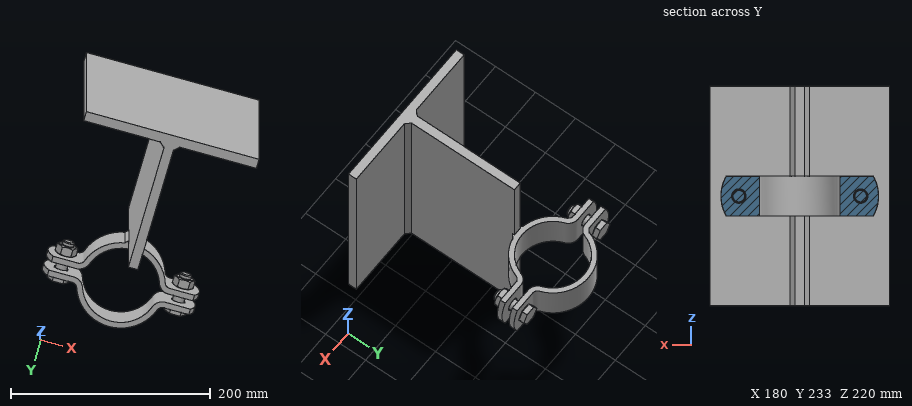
import math

import cadquery as cq


plate_width = 180.0
plate_thickness = 10.0
plate_height = 220.0
plate_back_y = -188.5
plate_front_y = plate_back_y + plate_thickness
web_thickness = 10.0
web_length = 134.0
web_end_y = plate_front_y + web_length
plate_weld_leg = 5.0

pipe_radius = 38.5
strap_thickness = 6.0
strap_radius = pipe_radius + strap_thickness
strap_width = 40.0
clamp_gap = 9.0
ear_inner_y = clamp_gap / 2
ear_outer_y = ear_inner_y + strap_thickness
ear_end_x = 79.0
ear_end_radius = 40.0
bend_inner_radius = 6.0
bend_outer_radius = bend_inner_radius + strap_thickness
clamp_weld_drop = 2.6

bolt_x = 61.0
bolt_diameter = 12.0
bolt_length = 35.0
bolt_tip_diameter = 9.85
bolt_tip_length = (bolt_diameter - bolt_tip_diameter) / 2
bolt_hole_diameter = 14.0
hex_across_flats = 19.0
hex_across_corners = hex_across_flats / math.cos(math.radians(30))
head_height = 7.0
washer_face_diameter = 17.2
washer_face_height = 0.5
nut_height = 10.0
nut_face_diameter = 17.2
nut_chamfer_angle = 30.0


def point_on_circle(center, radius, angle):
    """XY point at an angle (in radians) around a circle."""
    return (center[0] + radius * math.cos(angle), center[1] + radius * math.sin(angle))


def mirrored(point):
    """XY point reflected to the other side of the web."""
    return (-point[0], point[1])


def along_y(x, y):
    """Workplane across a bolt axis, with its normal pointing along -Y."""
    return cq.Workplane("XZ", origin=(x, y, 0))


def make_base():
    """T-section of plate and web with a 45 degree weld bead in each inner corner."""
    half_web = web_thickness / 2
    half_plate = plate_width / 2
    return (
        cq.Workplane("XY")
        .moveTo(0, plate_back_y)
        .lineTo(half_plate, plate_back_y)
        .lineTo(half_plate, plate_front_y)
        .lineTo(half_web + plate_weld_leg, plate_front_y)
        .lineTo(half_web, plate_front_y + plate_weld_leg)
        .lineTo(half_web, web_end_y)
        .lineTo(0, web_end_y)
        .mirrorY()
        .extrude(plate_height / 2, both=True)
    )


def make_clamp_half():
    """Rear (+Y) half of the clamp: a half ring bent out into two drilled ears."""
    bend_y = ear_outer_y + bend_inner_radius
    bend_x = math.sqrt((strap_radius + bend_inner_radius) ** 2 - bend_y**2)
    bend_center = (bend_x, bend_y)
    ring_angle = math.atan2(bend_y, bend_x)
    bend_end = ring_angle + math.pi
    bend_middle = (bend_end + 1.5 * math.pi) / 2

    ring_outer = point_on_circle((0, 0), strap_radius, ring_angle)
    ring_inner = point_on_circle((0, 0), pipe_radius, ring_angle)
    bend_inner_mid = point_on_circle(bend_center, bend_inner_radius, bend_middle)
    bend_outer_mid = point_on_circle(bend_center, bend_outer_radius, bend_middle)

    strap = (
        cq.Workplane("XY")
        .moveTo(*ring_outer)
        .threePointArc((0, strap_radius), mirrored(ring_outer))
        .threePointArc(mirrored(bend_inner_mid), (-bend_x, ear_outer_y))
        .lineTo(-ear_end_x, ear_outer_y)
        .lineTo(-ear_end_x, ear_inner_y)
        .lineTo(-bend_x, ear_inner_y)
        .threePointArc(mirrored(bend_outer_mid), mirrored(ring_inner))
        .threePointArc((0, pipe_radius), ring_inner)
        .threePointArc(bend_outer_mid, (bend_x, ear_inner_y))
        .lineTo(ear_end_x, ear_inner_y)
        .lineTo(ear_end_x, ear_outer_y)
        .lineTo(bend_x, ear_outer_y)
        .threePointArc(bend_inner_mid, ring_outer)
        .close()
        .extrude(strap_width / 2, both=True)
    )

    half_width = strap_width / 2
    ear_corner_x = ear_end_x - ear_end_radius + math.sqrt(ear_end_radius**2 - half_width**2)
    rounded_outline = (
        along_y(0, 0)
        .moveTo(-ear_corner_x, -half_width)
        .lineTo(ear_corner_x, -half_width)
        .threePointArc((ear_end_x, 0), (ear_corner_x, half_width))
        .lineTo(-ear_corner_x, half_width)
        .threePointArc((-ear_end_x, 0), (-ear_corner_x, -half_width))
        .close()
        .extrude(-2 * strap_radius)
    )
    holes = (
        along_y(0, 0)
        .pushPoints([(-bolt_x, 0), (bolt_x, 0)])
        .circle(bolt_hole_diameter / 2)
        .extrude(-2 * ear_outer_y)
    )
    return strap.intersect(rounded_outline).cut(holes)


def make_clamp_weld():
    """45 degree weld bead on both sides of the web where it meets the clamp."""
    half_web = web_thickness / 2
    tip_y = web_end_y - clamp_weld_drop
    strap_middle_y = -(pipe_radius + strap_radius) / 2
    outer_x = half_web + strap_middle_y - tip_y
    return (
        cq.Workplane("XY")
        .moveTo(0, tip_y)
        .lineTo(half_web, tip_y)
        .lineTo(outer_x, strap_middle_y)
        .lineTo(0, strap_middle_y)
        .mirrorY()
        .extrude(strap_width / 2, both=True)
    )


def make_bolt(x):
    """Hex bolt with a round washer face on the rear ear, pointing along -Y, with a tapered tip."""
    hex_base_y = ear_outer_y + washer_face_height
    hex_height = head_height - washer_face_height
    head = along_y(x, hex_base_y).polygon(6, hex_across_corners).extrude(-hex_height)
    washer_face = along_y(x, ear_outer_y).circle(washer_face_diameter / 2).extrude(-washer_face_height)
    shank = along_y(x, ear_outer_y).circle(bolt_diameter / 2).extrude(bolt_length)
    shank = shank.faces("<Y").chamfer(bolt_tip_length)
    return head.union(washer_face).union(shank)


def make_nut(x):
    """Hex nut seated on the front ear, its corners turned down to a cone at both faces."""
    face_radius = nut_face_diameter / 2
    corner_radius = hex_across_corners / 2
    cone_depth = (corner_radius - face_radius) * math.tan(math.radians(nut_chamfer_angle))
    blank = along_y(x, -ear_outer_y).polygon(6, hex_across_corners).extrude(nut_height)
    turned = (
        cq.Workplane("XY", origin=(x, -ear_outer_y, 0))
        .lineTo(face_radius, 0)
        .lineTo(corner_radius, -cone_depth)
        .lineTo(corner_radius, cone_depth - nut_height)
        .lineTo(face_radius, -nut_height)
        .lineTo(0, -nut_height)
        .close()
        .revolve(360, (0, 0, 0), (0, 1, 0))
    )
    return blank.intersect(turned)


rear_half = make_clamp_half()
front_half = rear_half.mirror("XZ")

result = make_base().union(front_half).union(make_clamp_weld()).union(rear_half)
for side in (-1, 1):
    result = result.union(make_bolt(side * bolt_x)).union(make_nut(side * bolt_x))